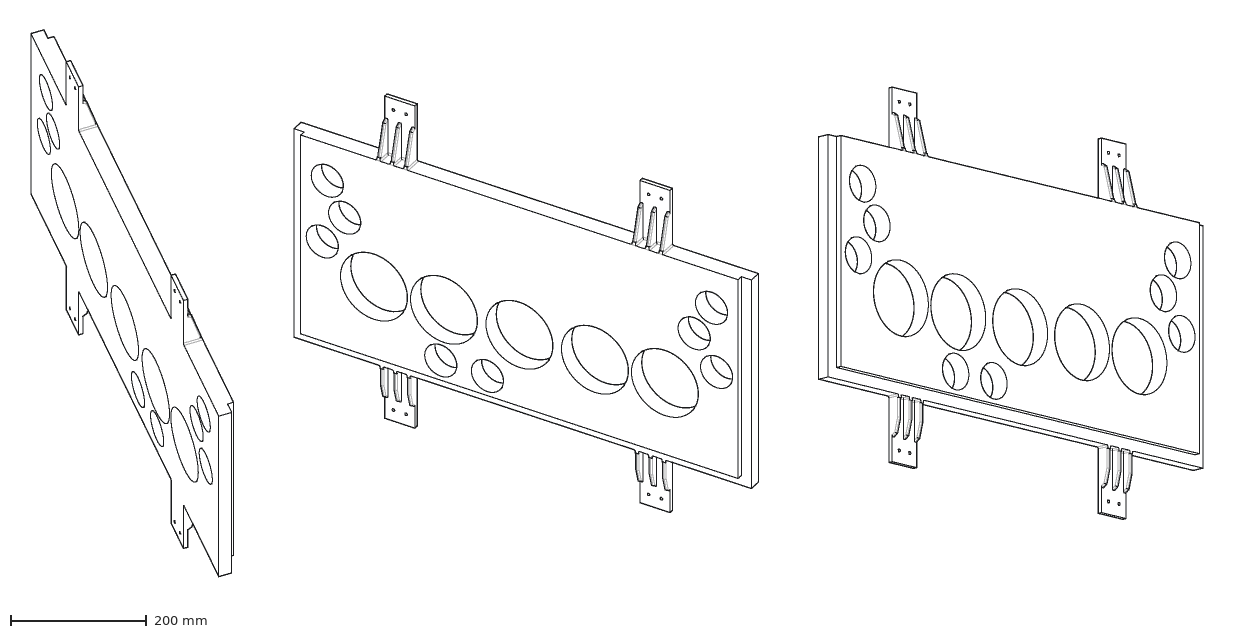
import cadquery as cq

length = 786.0
depth = 30.0
height = 568.0

panel_height = 368.0
front_layer = 20.5
side_step = 17.0
bottom_step = 17.0
panel_top = panel_height / 2
front_y = -depth / 2
overlap = 4.0

large_diameter = 115.0
small_diameter = 55.0
large_row_z = -41.0
large_row_x = [-250.0, -130.0, 0, 130.0, 250.0]
paired_small_holes = [(330.0, 119.0), (300.0, 64.0), (339.0, 9.0)]
lower_small_holes = [(55.0, -132.0), (135.0, -132.0)]

bracket_x = 219.0
tab_width = 52.0
tab_thickness = 7.0
tab_length = (height - panel_height) / 2
rib_thickness = 5.5
rib_count = 3
rib_shoulder_length = 57.0
rib_shoulder_depth = 14.0
rib_length = 62.0
root_radius = 2.0
rib_rounding = 2.05
screw_diameter = 4.2
screw_spacing = 22.0
screw_end_distance = 20.0


def block(width, thick, tall, x, y, z):
    """Box centred on x, starting at y and z."""
    return cq.Workplane("XY").box(width, thick, tall, centered=(True, False, False)).translate((x, y, z))


def cylinders(points, diameter):
    """Cutters along Y at (x, z) points, longer than the panel is deep."""
    start = cq.Workplane("XZ", origin=(0, -2 * depth, 0))
    return start.pushPoints(points).circle(diameter / 2).extrude(-4 * depth)


def make_panel():
    front = block(length, front_layer, panel_height, 0, front_y, -panel_top)
    back = block(
        length - 2 * side_step, depth - front_layer, panel_height - bottom_step,
        0, front_y + front_layer, -panel_top + bottom_step,
    )
    large_holes = [(x, large_row_z) for x in large_row_x]
    small_holes = [(side * x, z) for x, z in paired_small_holes for side in (-1, 1)]
    small_holes += lower_small_holes
    panel = front.union(back)
    return panel.cut(cylinders(large_holes, large_diameter)).cut(cylinders(small_holes, small_diameter))


def flared_strip(x, width, tall, thick):
    """Upright strip on z = 0, its two sides flaring out at the root with concave arcs."""
    half = width / 2
    foot = half + root_radius
    return (
        cq.Workplane("XZ", origin=(x, 0, 0))
        .moveTo(-foot, -overlap)
        .lineTo(foot, -overlap)
        .lineTo(foot, 0)
        .radiusArc((half, root_radius), root_radius)
        .lineTo(half, tall)
        .lineTo(-half, tall)
        .lineTo(-half, root_radius)
        .radiusArc((-foot, 0), root_radius)
        .close()
        .extrude(-thick)
    )


def make_tab():
    """Flat tab with its front at y = 0, flared at the root on its sides and back."""
    tab = flared_strip(0, tab_width, tab_length, tab_thickness)
    back_flare = (
        cq.Workplane("YZ", origin=(-tab_width / 2, 0, 0))
        .moveTo(0, -overlap)
        .lineTo(tab_thickness + root_radius, -overlap)
        .lineTo(tab_thickness + root_radius, 0)
        .radiusArc((tab_thickness, root_radius), root_radius)
        .lineTo(0, root_radius)
        .close()
        .extrude(tab_width)
    )
    return tab.union(back_flare)


def rib_plate(thickness, root_depth):
    """Tapered rib outline, centred on x = 0 and cut off at root_depth."""
    outline = [
        (0, -overlap), (depth, -overlap), (depth, 0),
        (rib_shoulder_depth, rib_shoulder_length), (tab_thickness, rib_length), (0, rib_length),
    ]
    plate = cq.Workplane("YZ", origin=(-thickness / 2, 0, 0)).polyline(outline).close().extrude(thickness)
    return plate.intersect(block(thickness, root_depth, rib_length + overlap, 0, 0, -overlap))


def make_rib(root_depth):
    """Rib with rounded back edges and a flared foot."""
    back_edges = cq.StringSyntaxSelector("#X") & cq.selectors.BoxSelector(
        (-rib_thickness, tab_thickness, 0),
        (rib_thickness, 2 * depth, rib_length),
    )
    rib = rib_plate(rib_thickness, root_depth).edges(back_edges).fillet(rib_rounding)
    foot_width = rib_thickness + 2 * root_radius
    foot = flared_strip(0, rib_thickness, 2 * root_radius, root_depth)
    return rib.union(foot.intersect(rib_plate(foot_width, root_depth)))


def make_bracket(root_depth):
    """Bracket rising from z = 0; its ribs reach no deeper than root_depth."""
    rib = make_rib(root_depth)
    rib_pitch = (tab_width - rib_thickness) / (rib_count - 1)
    bracket = make_tab()
    for i in range(rib_count):
        rib_x = (i - (rib_count - 1) / 2) * rib_pitch
        bracket = bracket.union(rib.translate((rib_x, 0, 0)))
    screw_z = tab_length - screw_end_distance
    screws = [(side * screw_spacing / 2, screw_z) for side in (-1, 1)]
    return bracket.cut(cylinders(screws, screw_diameter))


result = make_panel()
upper_bracket = make_bracket(depth)
lower_bracket = make_bracket(front_layer).mirror("XY")
for x in (-bracket_x, bracket_x):
    result = result.union(upper_bracket.translate((x, front_y, panel_top)))
    result = result.union(lower_bracket.translate((x, front_y, -panel_top)))